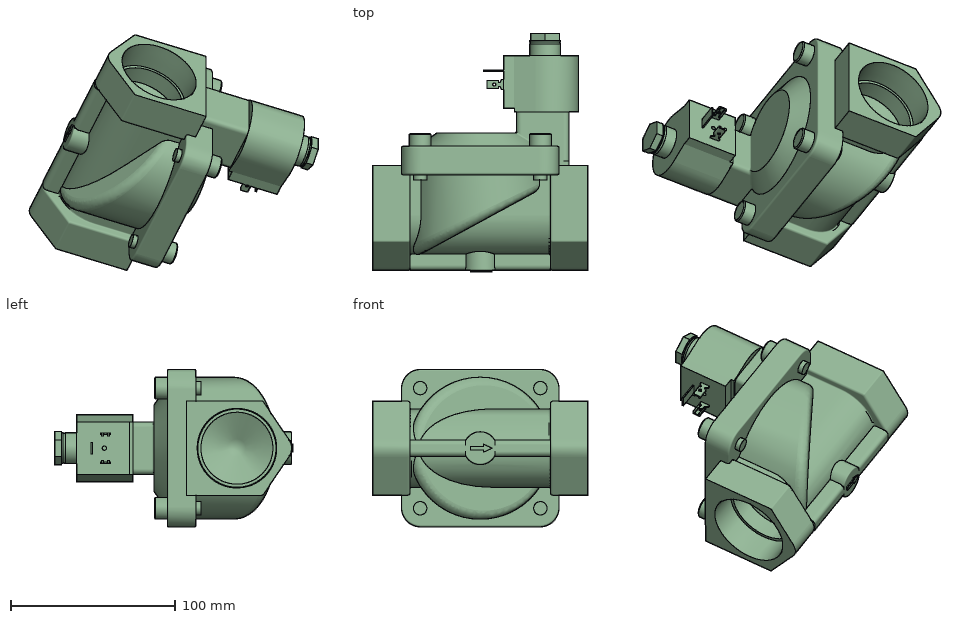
import cadquery as cq
import math


BODY_LENGTH = 131.0
BODY_HALF_LENGTH = BODY_LENGTH / 2
BLOCK_INNER_X = 42.6
BLOCK_TOP = 30.7
BLOCK_WIDTH = 57.3
BLOCK_HALF_WIDTH = BLOCK_WIDTH / 2
BLOCK_SHOULDER_Y = -15.8
BLOCK_TIP_Y = -33.2
TIP_RADIUS = 9.5
BLOCK_EDGE_FILLET = 1.6
SHOULDER_FILLET = 1.3

PORT_MOUTH_RADIUS = 24.2
PORT_END_RADIUS = 23.8
PORT_DEPTH = 17.7
BORE_RADIUS = 21.9
BORE_DEPTH = 29.0
BORE_CONE_ANGLE = 120

PIPE_RADIUS = 23.8
PIPE_END_FILLET = 0.9
BOWL_RADIUS = 43.2
BOWL_CUT_ANGLE = 28.5
BOWL_CUT_Y = -3.6
BOWL_FILLET = 5.1
RIB_HALF_WIDTH = 5.1
RIB_FILLET = 3.0
BOSS_RADIUS = 10.0
BOSS_HALF_LENGTH = 8.8
BOSS_FILLET = 0.7
ARROW_TAIL_X = -6.0
ARROW_NECK_X = 1.9
ARROW_TIP_X = 7.3
ARROW_SHAFT_HALF = 1.2
ARROW_HEAD_HALF = 2.5
ARROW_HEIGHT = 0.9

FLANGE_SIZE = 96.0
FLANGE_BOTTOM = 25.0
FLANGE_TOP = 42.3
FLANGE_CORNER = 11.9
FLANGE_EDGE_FILLET = 1.2
BONNET_TOP = 50.5
BONNET_BASE_RADIUS = 38.1
BONNET_TOP_RADIUS = 26.4

BOLT_OFFSET = 36.5
BOLT_HEAD_RADIUS = 6.7
BOLT_HEAD_HEIGHT = 7.8
BOLT_HEAD_CHAMFER = 0.7
BOLT_SHANK_RADIUS = 4.0
BOLT_END = 21.9

PILOT_X = 38.0
PILOT_SIZE = 32.0
PILOT_FOOT_TOP = 33.5
PILOT_FOOT_CORNER = 1.9
PILOT_CORNER = 3.2
PILOT_SEAM_FILLET = 1.0

COIL_X = 39.5
COIL_RADIUS = 20.5
COIL_BOTTOM = 63.2
COIL_TOP = 97.5
CONNECTOR_X = 14.2
CONNECTOR_BACK_X = 20.7
CONNECTOR_HALF_WIDTH = 16.0
CONNECTOR_BOTTOM = 65.4
SCREW_HOLE_Y = 80.6
SCREW_HOLE_RADIUS = 1.3
SCREW_HOLE_DEPTH = 4.4

STEM_RADIUS = 9.4
STEM_END = 105.7
STEM_CHAMFER_DROP = 1.3
STEM_CHAMFER_INSET = 0.6
WASHER_TOP = 106.6
NUT_CORNER_RADIUS = 10.2
NUT_TOP = 111.0

BLADE_THICKNESS = 0.9
BLADE_EMBED = 1.5
EARTH_TIP_X = 1.9
EARTH_Y = 88.3
EARTH_WIDTH = 6.8
BLADE_TIP_X = 4.0
BLADE_Y = 79.9
BLADE_Z = 9.3
BLADE_WIDTH = 5.1
BLADE_FOLD_DEPTH = 0.9
BLADE_FOLD_RADIUS = 0.7
BLADE_NECK_WIDTH = 2.6
BLADE_BASE_WIDTH = 6.1
BLADE_SHOULDER_X = 11.2
BLADE_NECK_END_X = 11.9
BLADE_BASE_X = 12.9
BLADE_HOLE_X = 8.5
BLADE_HOLE_RADIUS = 0.9

SEAM_MARGIN = 0.1
CLEARANCE = 1.5


def plane_y(y, x=0.0, z=0.0):
    """Workplane facing -Y whose local axes are X and Z."""
    return cq.Workplane("XZ", origin=(x, y, z))


def cylinder_y(radius, y_start, y_end, x=0.0, z=0.0):
    return plane_y(y_start, x, z).circle(radius).extrude(y_start - y_end)


def box(x_range, y_range, z_range):
    sizes = [end - start for start, end in (x_range, y_range, z_range)]
    return (
        cq.Workplane("XY", origin=(x_range[0], y_range[0], z_range[0]))
        .box(*sizes, centered=False)
    )


def tangent_point(centre_u, radius, corner_u, corner_z, turn):
    """Where a line from a corner touches a circle centred on the axis Z = 0.

    A turn of 1 goes counterclockwise from the corner to the touching point, -1 clockwise.
    """
    corner_angle = math.atan2(corner_z, corner_u - centre_u)
    corner_distance = math.hypot(corner_u - centre_u, corner_z)
    angle = corner_angle + turn * math.acos(radius / corner_distance)
    return centre_u + radius * math.cos(angle), radius * math.sin(angle)


def port_block():
    """Port block at +X with a five-sided section and a rounded tip."""
    tip_centre_y = BLOCK_TIP_Y + TIP_RADIUS
    tangent_y, tangent_z = tangent_point(
        tip_centre_y, TIP_RADIUS, BLOCK_SHOULDER_Y, BLOCK_HALF_WIDTH, turn=1
    )
    block = (
        cq.Workplane("YZ", origin=(BLOCK_INNER_X, 0, 0))
        .moveTo(BLOCK_TOP, BLOCK_HALF_WIDTH)
        .lineTo(BLOCK_SHOULDER_Y, BLOCK_HALF_WIDTH)
        .lineTo(tangent_y, tangent_z)
        .threePointArc((BLOCK_TIP_Y, 0), (tangent_y, -tangent_z))
        .lineTo(BLOCK_SHOULDER_Y, -BLOCK_HALF_WIDTH)
        .lineTo(BLOCK_TOP, -BLOCK_HALF_WIDTH)
        .close()
        .extrude(BODY_HALF_LENGTH - BLOCK_INNER_X)
    )
    shoulder_zone = cq.selectors.BoxSelector(
        (BLOCK_INNER_X, BLOCK_SHOULDER_Y - CLEARANCE, -BLOCK_HALF_WIDTH - CLEARANCE),
        (BODY_HALF_LENGTH, BLOCK_SHOULDER_Y + CLEARANCE, BLOCK_HALF_WIDTH + CLEARANCE),
    )
    block = block.edges("|X").edges(shoulder_zone).fillet(SHOULDER_FILLET)
    return block.faces("<X").edges("not >Y").fillet(BLOCK_EDGE_FILLET)


def port_bore():
    """Tapered port at +X, stepping down to a blind bore with a conical end."""
    ledge_x = BODY_HALF_LENGTH - PORT_DEPTH
    bore_end_x = BODY_HALF_LENGTH - BORE_DEPTH
    cone_length = BORE_RADIUS / math.tan(math.radians(BORE_CONE_ANGLE / 2))
    return (
        cq.Workplane("XY")
        .moveTo(BODY_HALF_LENGTH, 0)
        .lineTo(BODY_HALF_LENGTH, PORT_MOUTH_RADIUS)
        .lineTo(ledge_x, PORT_END_RADIUS)
        .lineTo(ledge_x, BORE_RADIUS)
        .lineTo(bore_end_x, BORE_RADIUS)
        .lineTo(bore_end_x - cone_length, 0)
        .close()
        .revolve(360, (0, 0, 0), (1, 0, 0))
    )


def both_ends(solid):
    return solid.union(solid.mirror("YZ"))


def pipe():
    """U-shaped body: round below the flow axis, flat-sided up to the flange."""
    return (
        cq.Workplane("YZ", origin=(-BLOCK_INNER_X, 0, 0))
        .moveTo(FLANGE_BOTTOM, PIPE_RADIUS)
        .lineTo(0, PIPE_RADIUS)
        .threePointArc((-PIPE_RADIUS, 0), (0, -PIPE_RADIUS))
        .lineTo(FLANGE_BOTTOM, -PIPE_RADIUS)
        .close()
        .extrude(2 * BLOCK_INNER_X)
    )


def pipe_and_blocks():
    """Both port blocks on the pipe, with a small fillet where they meet."""
    body = pipe().union(both_ends(port_block()))
    for end_x in (-BLOCK_INNER_X, BLOCK_INNER_X):
        pipe_end = cq.selectors.BoxSelector(
            (end_x - SEAM_MARGIN, -PIPE_RADIUS - SEAM_MARGIN, -PIPE_RADIUS - SEAM_MARGIN),
            (end_x + SEAM_MARGIN, FLANGE_BOTTOM + SEAM_MARGIN, PIPE_RADIUS + SEAM_MARGIN),
            boundingbox=True,
        )
        body = body.edges(pipe_end).edges("not(|Z)").fillet(PIPE_END_FILLET)
    return body


def bowl():
    """Cylinder under the flange, closed by a sloping floor with a rounded rim."""
    slope = math.tan(math.radians(BOWL_CUT_ANGLE))
    reach = BOWL_RADIUS + CLEARANCE
    deepest = BOWL_CUT_Y - slope * reach
    blank = cylinder_y(BOWL_RADIUS, deepest, FLANGE_BOTTOM)
    below_floor = (
        cq.Workplane("XY", origin=(0, 0, -reach))
        .polyline([
            (-reach, deepest),
            (reach, BOWL_CUT_Y + slope * reach),
            (reach, deepest - CLEARANCE),
            (-reach, deepest - CLEARANCE),
        ])
        .close()
        .extrude(2 * reach)
    )
    return blank.cut(below_floor).faces("<Y").edges().fillet(BOWL_FILLET)


def rib():
    """Rounded rib along the bottom, joining the two port blocks."""
    return (
        box((-BLOCK_INNER_X, BLOCK_INNER_X), (BLOCK_TIP_Y, 0), (-RIB_HALF_WIDTH, RIB_HALF_WIDTH))
        .faces("<Y").edges("|X").fillet(RIB_FILLET)
    )


def arrow_boss():
    """Boss on the rib, flattened at both X sides, with a raised flow arrow."""
    flats = box((-BOSS_HALF_LENGTH, BOSS_HALF_LENGTH), (BLOCK_TIP_Y, 0), (-BOSS_RADIUS, BOSS_RADIUS))
    boss = cylinder_y(BOSS_RADIUS, BLOCK_TIP_Y, 0).faces("<Y").edges().fillet(BOSS_FILLET).intersect(flats)
    upper_half = [
        (ARROW_TAIL_X, ARROW_SHAFT_HALF),
        (ARROW_NECK_X, ARROW_SHAFT_HALF),
        (ARROW_NECK_X, ARROW_HEAD_HALF),
    ]
    lower_half = [(x, -z) for x, z in reversed(upper_half)]
    arrow = (
        plane_y(BLOCK_TIP_Y)
        .polyline(upper_half + [(ARROW_TIP_X, 0)] + lower_half)
        .close()
        .extrude(ARROW_HEIGHT)
    )
    return boss.union(arrow)


def flange():
    return (
        plane_y(FLANGE_BOTTOM)
        .rect(FLANGE_SIZE, FLANGE_SIZE)
        .extrude(FLANGE_BOTTOM - FLANGE_TOP)
        .edges("|Y").fillet(FLANGE_CORNER)
        .faces("<Y or >Y").edges().fillet(FLANGE_EDGE_FILLET)
    )


def bonnet():
    """Cone frustum on top of the flange."""
    return (
        cq.Workplane("XY")
        .polyline([
            (0, FLANGE_TOP),
            (BONNET_BASE_RADIUS, FLANGE_TOP),
            (BONNET_TOP_RADIUS, BONNET_TOP),
            (0, BONNET_TOP),
        ])
        .close()
        .revolve(360, (0, 0, 0), (0, 1, 0))
    )


def bolt(x, z):
    head = cylinder_y(BOLT_HEAD_RADIUS, FLANGE_TOP, FLANGE_TOP + BOLT_HEAD_HEIGHT, x, z)
    head = head.faces(">Y").edges().chamfer(BOLT_HEAD_CHAMFER)
    return head.union(cylinder_y(BOLT_SHANK_RADIUS, BOLT_END, FLANGE_TOP, x, z))


def pilot_housing():
    """Square column beside the bonnet, with sharper corners at its foot."""
    def section(y_start, y_end, corner):
        return (
            plane_y(y_start, PILOT_X)
            .rect(PILOT_SIZE, PILOT_SIZE)
            .extrude(y_start - y_end)
            .edges("|Y").fillet(corner)
        )
    foot = section(BLOCK_TOP, PILOT_FOOT_TOP, PILOT_FOOT_CORNER)
    return foot.union(section(PILOT_FOOT_TOP, COIL_BOTTOM, PILOT_CORNER))


def bonnet_and_pilot():
    """Bonnet and pilot housing, blended along the seam on the cone."""
    joined = bonnet().union(pilot_housing())
    pilot_half = PILOT_SIZE / 2
    seam = cq.selectors.BoxSelector(
        (PILOT_X - pilot_half - SEAM_MARGIN, FLANGE_TOP - SEAM_MARGIN, -pilot_half - SEAM_MARGIN),
        (BONNET_BASE_RADIUS, BONNET_TOP + SEAM_MARGIN, pilot_half + SEAM_MARGIN),
        boundingbox=True,
    )
    return joined.edges(seam).fillet(PILOT_SEAM_FILLET)


def coil():
    """Round coil whose sides run tangentially into the narrower connector block."""
    tangent_x, tangent_z = tangent_point(
        COIL_X, COIL_RADIUS, CONNECTOR_BACK_X, CONNECTOR_HALF_WIDTH, turn=-1
    )
    winding = (
        plane_y(COIL_BOTTOM)
        .moveTo(CONNECTOR_BACK_X, CONNECTOR_HALF_WIDTH)
        .lineTo(tangent_x, tangent_z)
        .threePointArc((COIL_X + COIL_RADIUS, 0), (tangent_x, -tangent_z))
        .lineTo(CONNECTOR_BACK_X, -CONNECTOR_HALF_WIDTH)
        .close()
        .extrude(COIL_BOTTOM - COIL_TOP)
    )
    connector = box(
        (CONNECTOR_X, CONNECTOR_BACK_X),
        (CONNECTOR_BOTTOM, COIL_TOP),
        (-CONNECTOR_HALF_WIDTH, CONNECTOR_HALF_WIDTH),
    )
    screw_hole = (
        cq.Workplane("YZ", origin=(CONNECTOR_X, SCREW_HOLE_Y, 0))
        .circle(SCREW_HOLE_RADIUS)
        .extrude(SCREW_HOLE_DEPTH)
    )
    return winding.union(connector).cut(screw_hole)


def stem_and_nut():
    """Chamfered stem, a thin washer and a hexagon nut with corners toward +Z and -Z."""
    stem = (
        cq.Workplane("XY", origin=(COIL_X, 0, 0))
        .polyline([
            (0, COIL_TOP),
            (STEM_RADIUS, COIL_TOP),
            (STEM_RADIUS, STEM_END - STEM_CHAMFER_DROP),
            (STEM_RADIUS - STEM_CHAMFER_INSET, STEM_END),
            (STEM_RADIUS, STEM_END),
            (STEM_RADIUS, WASHER_TOP),
            (0, WASHER_TOP),
        ])
        .close()
        .revolve(360, (0, 0, 0), (0, 1, 0))
    )
    nut = (
        plane_y(WASHER_TOP, COIL_X)
        .transformed(rotate=(0, 0, 90))
        .polygon(6, 2 * NUT_CORNER_RADIUS)
        .extrude(WASHER_TOP - NUT_TOP)
    )
    return stem.union(nut)


def earth_blade():
    return box(
        (EARTH_TIP_X, CONNECTOR_X + BLADE_EMBED),
        (EARTH_Y - BLADE_THICKNESS / 2, EARTH_Y + BLADE_THICKNESS / 2),
        (-EARTH_WIDTH / 2, EARTH_WIDTH / 2),
    )


def power_blade():
    """Necked blade at +Z with its long edges folded inward and a locking hole."""
    upper_edge = [
        (BLADE_TIP_X, BLADE_WIDTH / 2),
        (BLADE_SHOULDER_X, BLADE_WIDTH / 2),
        (BLADE_SHOULDER_X, BLADE_NECK_WIDTH / 2),
        (BLADE_NECK_END_X, BLADE_NECK_WIDTH / 2),
        (BLADE_BASE_X, BLADE_BASE_WIDTH / 2),
        (CONNECTOR_X + BLADE_EMBED, BLADE_BASE_WIDTH / 2),
    ]
    lower_edge = [(x, -y) for x, y in reversed(upper_edge)]
    blade_plane = cq.Workplane("XY", origin=(0, BLADE_Y, BLADE_Z))
    blade = blade_plane.polyline(upper_edge + lower_edge).close().extrude(-BLADE_THICKNESS)
    fold_width = (BLADE_WIDTH - BLADE_NECK_WIDTH) / 2
    fold_length = BLADE_SHOULDER_X - BLADE_TIP_X
    folds = (
        blade_plane
        .center(BLADE_TIP_X + fold_length / 2, 0)
        .rarray(1.5, BLADE_WIDTH - fold_width, 1, 2)
        .rect(fold_length, fold_width)
        .extrude(-BLADE_THICKNESS - BLADE_FOLD_DEPTH)
    )
    hole = blade_plane.center(BLADE_HOLE_X, 0).circle(BLADE_HOLE_RADIUS).extrude(-BLADE_THICKNESS)
    long_edges = cq.selectors.BoxSelector(
        (BLADE_TIP_X, BLADE_Y - BLADE_WIDTH, BLADE_Z - BLADE_FOLD_RADIUS),
        (BLADE_SHOULDER_X, BLADE_Y + BLADE_WIDTH, BLADE_Z + BLADE_FOLD_RADIUS),
    )
    blade = blade.union(folds).edges("|X").edges(long_edges).fillet(BLADE_FOLD_RADIUS)
    return blade.cut(hole)


valve = pipe_and_blocks().union(bowl()).union(rib()).union(arrow_boss())
valve = valve.union(flange())
valve = valve.cut(both_ends(port_bore()))

for bolt_x in (-BOLT_OFFSET, BOLT_OFFSET):
    for bolt_z in (-BOLT_OFFSET, BOLT_OFFSET):
        valve = valve.union(bolt(bolt_x, bolt_z))

valve = valve.union(bonnet_and_pilot()).union(coil()).union(stem_and_nut())
valve = valve.union(earth_blade()).union(power_blade()).union(power_blade().mirror("XY"))

result = valve